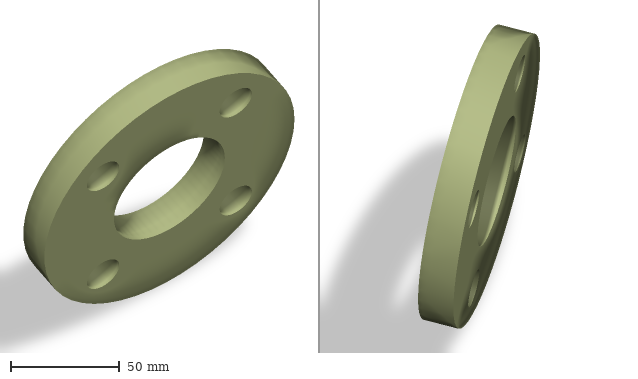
import cadquery as cq

outer_diameter = 140.0
thickness = 17.0
bore_diameter = 62.0
bolt_circle_diameter = 105.0
bolt_hole_diameter = 18.0
bolt_hole_count = 4
first_hole_angle = 180.0 / bolt_hole_count

ring = (
    cq.Workplane("YZ")
    .circle(outer_diameter / 2)
    .circle(bore_diameter / 2)
    .extrude(thickness)
)

bolt_holes = (
    cq.Workplane("YZ")
    .polarArray(bolt_circle_diameter / 2, first_hole_angle, 360, bolt_hole_count)
    .circle(bolt_hole_diameter / 2)
    .extrude(thickness)
)

result = ring.cut(bolt_holes)